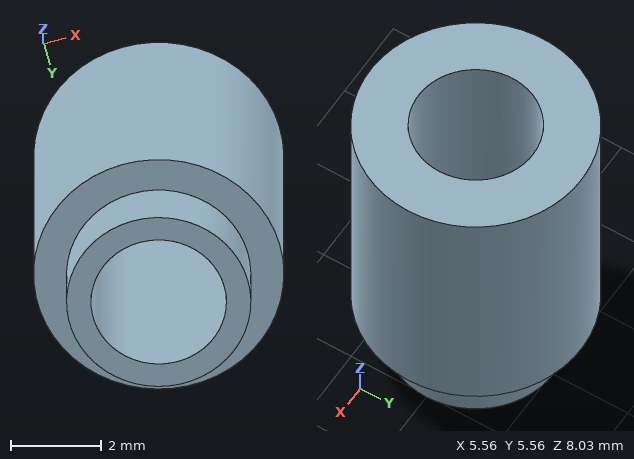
import cadquery as cq

total_height = 8.03
body_diameter = 5.56
spigot_diameter = 4.09
spigot_height = 1.525
bore_diameter = 3.0

body_height = total_height - spigot_height

spigot = cq.Workplane("XY").circle(spigot_diameter / 2).extrude(spigot_height)

sleeve = spigot.faces(">Z").workplane().circle(body_diameter / 2).extrude(body_height)

bore = cq.Workplane("XY").circle(bore_diameter / 2).extrude(total_height)

result = sleeve.cut(bore)